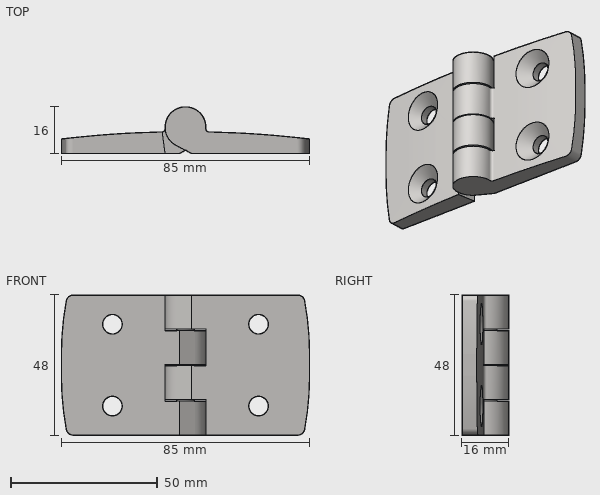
import cadquery as cq
import math


hinge_length = 85.0
hinge_height = 48.0
half_length = hinge_length / 2
half_height = hinge_height / 2

barrel_radius = 7.0
pin_axis_y = 9.0
pin_diameter = 6.0
relief_foot_x = 2.0

knuckles_per_half = 2
middle_gap = 0.3
outer_gap = 0.5
knuckle_height = (half_height - middle_gap / 2 - outer_gap) / knuckles_per_half

crown_radius = 360.0
leaf_edge_thickness = 5.0
barrel_fillet = 1.0

end_flat_half_height = 3.7
end_arc_radius = 100.0
corner_radius = 2.5

hole_x = 25.0
hole_z = 14.0
hole_diameter = 6.6
countersink_diameter = 14.0
countersink_angle = 90.0

crown_center_y = leaf_edge_thickness - math.sqrt(crown_radius**2 - half_length**2)

fillet_center_x = barrel_radius + barrel_fillet
fillet_center_y = crown_center_y + math.sqrt((crown_radius + barrel_fillet) ** 2 - fillet_center_x**2)
fillet_end_x = fillet_center_x * crown_radius / (crown_radius + barrel_fillet)


def crown_y(x):
    """Height of the crowned face above the mounting face at distance x from the pin."""
    return crown_center_y + math.sqrt(crown_radius**2 - x**2)


def make_end_outline():
    """Leaf outline in the XZ plane, extruded through more than the leaf thickness."""
    arc_center_x = half_length - end_arc_radius
    corner_z = half_height - corner_radius
    center_distance = end_arc_radius - corner_radius
    arc_angle = math.asin((corner_z - end_flat_half_height) / center_distance)
    corner_x = arc_center_x + center_distance * math.cos(arc_angle)

    def on_end_arc(angle):
        return (
            arc_center_x + end_arc_radius * math.cos(angle),
            end_flat_half_height + end_arc_radius * math.sin(angle),
        )

    def on_corner(angle):
        return (
            corner_x + corner_radius * math.cos(angle),
            corner_z + corner_radius * math.sin(angle),
        )

    def mirrored(point):
        return (point[0], -point[1])

    arc_middle = on_end_arc(arc_angle / 2)
    arc_end = on_end_arc(arc_angle)
    corner_middle = on_corner((arc_angle + math.pi / 2) / 2)
    corner_end = (corner_x, half_height)

    outline = (
        cq.Workplane("XZ")
        .moveTo(0, half_height)
        .lineTo(*corner_end)
        .threePointArc(corner_middle, arc_end)
        .threePointArc(arc_middle, (half_length, end_flat_half_height))
        .lineTo(half_length, -end_flat_half_height)
        .threePointArc(mirrored(arc_middle), mirrored(arc_end))
        .threePointArc(mirrored(corner_middle), mirrored(corner_end))
        .lineTo(0, -half_height)
        .close()
    )
    cover_depth = pin_axis_y + barrel_radius
    return outline.extrude(-cover_depth)


def make_plate():
    """Crowned plate of one leaf; its inner face slopes away from the barrel."""
    middle_x = (fillet_end_x + half_length) / 2
    section = (
        cq.Workplane("XY")
        .workplane(offset=-half_height)
        .moveTo(barrel_radius, 0)
        .lineTo(half_length, 0)
        .lineTo(half_length, leaf_edge_thickness)
        .threePointArc((middle_x, crown_y(middle_x)), (fillet_end_x, crown_y(fillet_end_x)))
        .close()
    )
    return section.extrude(hinge_height).intersect(make_end_outline())


def make_knuckle(top_z):
    """Barrel section with the web that joins it to the plate."""
    foot_distance = math.hypot(relief_foot_x, pin_axis_y)
    foot_direction = math.atan2(-pin_axis_y, relief_foot_x)
    tangent_angle = foot_direction - math.acos(barrel_radius / foot_distance)
    tangent_point = (
        barrel_radius * math.cos(tangent_angle),
        pin_axis_y + barrel_radius * math.sin(tangent_angle),
    )
    fillet_middle = (
        fillet_center_x - barrel_fillet * math.sqrt(0.5),
        fillet_center_y - barrel_fillet * math.sqrt(0.5),
    )
    section = (
        cq.Workplane("XY")
        .workplane(offset=top_z - knuckle_height)
        .moveTo(relief_foot_x, 0)
        .lineTo(barrel_radius, 0)
        .lineTo(fillet_end_x, crown_y(fillet_end_x))
        .threePointArc(fillet_middle, (barrel_radius, fillet_center_y))
        .lineTo(barrel_radius, pin_axis_y)
        .threePointArc((0, pin_axis_y + barrel_radius), tangent_point)
        .close()
    )
    return section.extrude(knuckle_height)


def make_screw_hole(z):
    """Cutter for one through hole with a countersink opening on the crowned face."""
    face_y = crown_y(hole_x)
    slope = math.tan(math.radians(countersink_angle / 2))
    cone_depth = (countersink_diameter - hole_diameter) / 2 / slope
    overrun = 1.0
    outer_radius = countersink_diameter / 2 + overrun * slope
    section = (
        cq.Workplane("XY")
        .lineTo(hole_diameter / 2, 0)
        .lineTo(hole_diameter / 2, face_y - cone_depth)
        .lineTo(outer_radius, face_y + overrun)
        .lineTo(0, face_y + overrun)
        .close()
    )
    return section.revolve(360, (0, 0), (0, 1)).translate((hole_x, 0, z))


def make_leaf():
    """Leaf on the +X side, with its first knuckle flush with the top end."""
    leaf = make_plate()
    knuckle_tops = [half_height, -middle_gap / 2]
    for top_z in knuckle_tops:
        leaf = leaf.union(make_knuckle(top_z))
    for z in (-hole_z, hole_z):
        leaf = leaf.cut(make_screw_hole(z))
    return leaf


def make_pin():
    """Pin through the barrel, buried in the two end knuckles."""
    pin_length = hinge_height - knuckle_height
    return (
        cq.Workplane("XY")
        .workplane(offset=-pin_length / 2)
        .center(0, pin_axis_y)
        .circle(pin_diameter / 2)
        .extrude(pin_length)
    )


right_leaf = make_leaf()
left_leaf = right_leaf.rotate((0, 0, 0), (0, 1, 0), 180)
result = right_leaf.union(make_pin()).union(left_leaf)